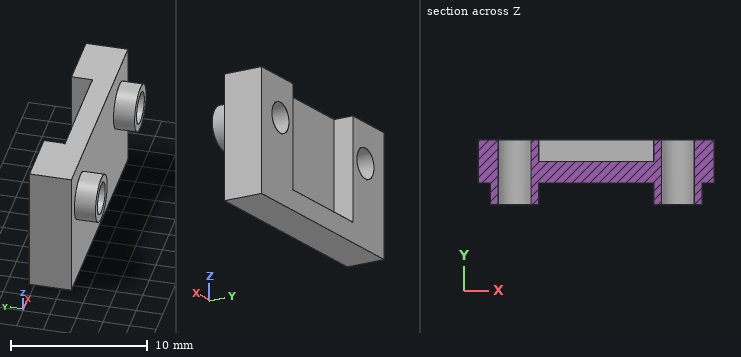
import cadquery as cq

width = 17.27
height = 9.83
plate_depth = 3.18

boss_diameter = 3.55
hole_diameter = 2.38
boss_length = 1.59
boss_spacing = 11.93
left_boss_x = (width - boss_spacing) / 2
boss_drop = 3.18

wall = 1.59
pocket_left = left_boss_x + boss_diameter / 2
pocket_width = boss_spacing - boss_diameter
pocket_depth = plate_depth - wall
pocket_height = height - wall

boss_z = height - boss_drop
total_depth = plate_depth + boss_length


def cylinder_along_y(diameter, length, x):
    """Cylinder running backward from the front ends of the bosses."""
    start = cq.Vector(x, -boss_length, boss_z)
    return cq.Workplane(cq.Solid.makeCylinder(diameter / 2, length, start, cq.Vector(0, 1, 0)))


result = cq.Workplane().box(width, plate_depth, height, centered=False)

pocket = (
    cq.Workplane()
    .box(pocket_width, pocket_depth, pocket_height, centered=False)
    .translate((pocket_left, wall, wall))
)
result = result.cut(pocket)

for boss_x in (left_boss_x, left_boss_x + boss_spacing):
    result = result.union(cylinder_along_y(boss_diameter, boss_length, boss_x))
    result = result.cut(cylinder_along_y(hole_diameter, total_depth, boss_x))